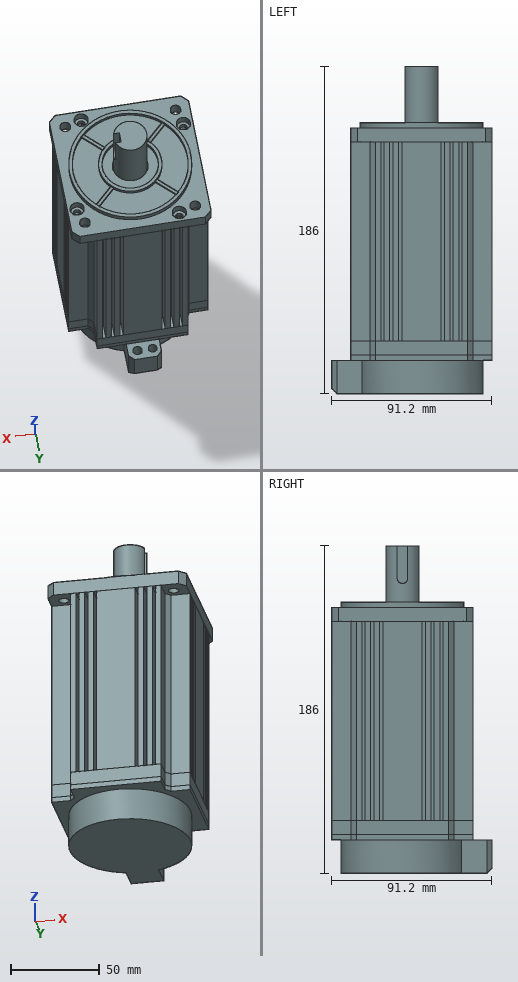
import cadquery as cq

square_side = 80.4
half_side = square_side / 2

encoder_height = 19.0
rear_plate_thickness = 3.0
rear_cover_thickness = 8.0
stator_length = 113.0
flange_thickness = 8.0
pilot_height = 3.0
shaft_reach = 32.0

rear_plate_z = encoder_height
rear_cover_z = rear_plate_z + rear_plate_thickness
stator_z = rear_cover_z + rear_cover_thickness
flange_z = stator_z + stator_length
flange_top_z = flange_z + flange_thickness
pilot_top_z = flange_top_z + pilot_height
shaft_top_z = pilot_top_z + shaft_reach

notch_side = 14.0
notch_chamfer = 3.0

groove_width = 1.9
groove_depth = 8.5
groove_pitch = 5.0
first_groove_offset = 12.0
grooves_per_group = 3
groove_offsets = [first_groove_offset + i * groove_pitch for i in range(grooves_per_group)]

flange_chamfer = 3.9
mount_hole_diameter = 6.0
mount_hole_offset = 31.8
screw_hole_diameter = 4.5
screw_head_diameter = 8.0
screw_head_depth = 5.0
screw_edge_offset = 34.6
screw_side_offset = groove_offsets[-1]

pilot_diameter = 70.0
rim_width = 2.0
recess_diameter = pilot_diameter - 2 * rim_width
recess_depth = 2.0
hub_outer_diameter = 36.0
hub_inner_diameter = 32.0
rib_width = 2.0
rib_height = 1.0
shaft_bore_diameter = 20.0

shaft_diameter = 19.0
keyway_width = 6.0
keyway_length = 21.4
keyway_floor_x = 5.8

encoder_diameter = 70.0
outlet_width = 19.0
outlet_reach = 51.0
outlet_chamfer = 3.0
cable_hole_y = 45.4
cable_hole_depth = 10.0
left_cable_x = -4.8
left_cable_diameter = 4.8
right_cable_x = 3.9
right_cable_diameter = 5.2


def disc(diameter, bottom_z, height):
    return cq.Workplane("XY").workplane(offset=bottom_z).circle(diameter / 2).extrude(height)


def square_block(bottom_z, height):
    return cq.Workplane("XY").workplane(offset=bottom_z).rect(square_side, square_side).extrude(height)


def notched_block(bottom_z, height):
    """Square block whose four corners have square notches, each with a chamfered inner corner."""
    inner = half_side - notch_side
    outer = half_side
    block = square_block(bottom_z, height)
    notch = (
        cq.Workplane("XY")
        .workplane(offset=bottom_z)
        .moveTo(outer, inner)
        .lineTo(inner + notch_chamfer, inner)
        .lineTo(inner, inner + notch_chamfer)
        .lineTo(inner, outer)
        .lineTo(outer, outer)
        .close()
        .extrude(height)
    )
    for turn in range(4):
        block = block.cut(notch.rotate((0, 0, 0), (0, 0, 1), 90 * turn))
    return block


def make_stator():
    """Extruded body with deep cooling grooves along all four faces."""
    groove_points = []
    for offset in groove_offsets:
        groove_points.append((offset, half_side - groove_depth / 2))
        groove_points.append((-offset, half_side - groove_depth / 2))
    face_grooves = (
        cq.Workplane("XY")
        .workplane(offset=stator_z)
        .pushPoints(groove_points)
        .rect(groove_width, groove_depth)
        .extrude(stator_length)
    )
    stator = notched_block(stator_z, stator_length)
    for turn in range(4):
        stator = stator.cut(face_grooves.rotate((0, 0, 0), (0, 0, 1), 90 * turn))
    return stator


def make_pilot():
    """Locating disc with its face recessed around a hub ring and four diagonal ribs."""
    recess_floor_z = pilot_top_z - recess_depth
    recess = disc(recess_diameter, recess_floor_z, recess_depth)
    hub = disc(hub_outer_diameter, recess_floor_z, recess_depth)
    hub = hub.cut(disc(hub_inner_diameter, recess_floor_z, recess_depth))
    rib_area = disc(recess_diameter, recess_floor_z, rib_height)
    rib_area = rib_area.cut(disc(hub_outer_diameter, recess_floor_z, rib_height))
    pilot = disc(pilot_diameter, flange_top_z, pilot_height).cut(recess).union(hub)
    for angle in (45, 135):
        bar = (
            cq.Workplane("XY")
            .workplane(offset=recess_floor_z)
            .rect(pilot_diameter, rib_width)
            .extrude(rib_height)
            .rotate((0, 0, 0), (0, 0, 1), angle)
        )
        pilot = pilot.union(bar.intersect(rib_area))
    return pilot


def make_flange():
    """Front flange with pilot, shaft bore, mounting holes and counterbored screw holes."""
    flange = square_block(flange_z, flange_thickness).edges("|Z").chamfer(flange_chamfer)
    flange = flange.union(make_pilot())
    flange = flange.cut(disc(shaft_bore_diameter, flange_z, flange_thickness + pilot_height))
    mount_holes = (
        cq.Workplane("XY")
        .workplane(offset=flange_z)
        .rect(2 * mount_hole_offset, 2 * mount_hole_offset, forConstruction=True)
        .vertices()
        .circle(mount_hole_diameter / 2)
        .extrude(flange_thickness)
    )
    flange = flange.cut(mount_holes)
    screw_hole = disc(screw_hole_diameter, flange_z, flange_thickness)
    screw_hole = screw_hole.union(
        disc(screw_head_diameter, flange_top_z - screw_head_depth, screw_head_depth)
    )
    screw_hole = screw_hole.translate((-screw_side_offset, screw_edge_offset, 0))
    for turn in range(4):
        flange = flange.cut(screw_hole.rotate((0, 0, 0), (0, 0, 1), 90 * turn))
    return flange


def make_shaft():
    """Shaft standing on the stator, with a keyway on +X that ends in a half round."""
    shaft = disc(shaft_diameter, flange_z, shaft_top_z - flange_z)
    round_center_z = shaft_top_z - keyway_length + keyway_width / 2
    keyway = (
        cq.Workplane("YZ")
        .workplane(offset=keyway_floor_x)
        .moveTo(-keyway_width / 2, shaft_top_z)
        .lineTo(-keyway_width / 2, round_center_z)
        .threePointArc((0, shaft_top_z - keyway_length), (keyway_width / 2, round_center_z))
        .lineTo(keyway_width / 2, shaft_top_z)
        .close()
        .extrude(shaft_diameter / 2)
    )
    return shaft.cut(keyway)


def make_encoder_cap():
    """Round rear cap with a chamfered cable outlet on +Y and two blind cable holes."""
    outlet = (
        cq.Workplane("XY")
        .center(0, outlet_reach / 2)
        .rect(outlet_width, outlet_reach)
        .extrude(encoder_height)
    )
    outlet = outlet.edges("(|Z and >Y) or (<Z and >Y)").chamfer(outlet_chamfer)
    cap = disc(encoder_diameter, 0, encoder_height).union(outlet)
    for x, diameter in ((left_cable_x, left_cable_diameter), (right_cable_x, right_cable_diameter)):
        hole = disc(diameter, encoder_height - cable_hole_depth, cable_hole_depth)
        cap = cap.cut(hole.translate((x, cable_hole_y, 0)))
    return cap


encoder_cap = make_encoder_cap()
rear_plate = notched_block(rear_plate_z, rear_plate_thickness)
rear_cover = notched_block(rear_cover_z, rear_cover_thickness)
stator = make_stator()
flange = make_flange()
shaft = make_shaft()

result = cq.Compound.makeCompound(
    [
        encoder_cap.val(),
        rear_plate.val(),
        rear_cover.val(),
        stator.val(),
        flange.val(),
        shaft.val(),
    ]
)